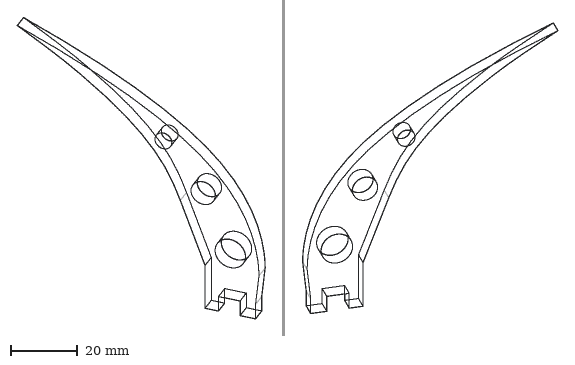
import cadquery as cq

height = 85.0
thickness = 5.0

foot_left = 60.6
foot_right = 76.9
foot_shoulder_height = 15.0
foot_right_height = 5.1

slot_left = 64.9
slot_right = 71.9
slot_depth = 5.1

tip = (0, height)
outer_edge_points = [(19.9, 76.75), (36.3, 68.6), (49.6, 60.4), (64.3, 48.1),
                     (73.9, 33.8), (77.5, 21.6), (78.0, 15.3)]
inner_straight_end = (52.6, 35.9)
inner_edge_points = [(47.85, 46.1), (40.0, 56.35), (28.5, 66.7), (13.85, 76.9)]

holes = [(47.2, 55.4, 5.4), (60.0, 40.1, 7.8), (68.8, 21.0, 9.8)]


def make_blade():
    """Hooked blade with its foot, centred on the XZ plane."""
    foot_shoulder = (foot_left, foot_shoulder_height)
    straight_direction = (
        inner_straight_end[0] - foot_shoulder[0],
        inner_straight_end[1] - foot_shoulder[1],
    )
    tip_direction = (
        tip[0] - inner_edge_points[-1][0],
        tip[1] - inner_edge_points[-1][1],
    )
    outline = (
        cq.Workplane("XZ", origin=(0, thickness / 2, 0))
        .moveTo(*tip)
        .spline(outer_edge_points, includeCurrent=True)
        .lineTo(foot_right, foot_right_height)
        .lineTo(foot_right, 0)
        .lineTo(slot_right, 0)
        .lineTo(slot_right, slot_depth)
        .lineTo(slot_left, slot_depth)
        .lineTo(slot_left, 0)
        .lineTo(foot_left, 0)
        .lineTo(*foot_shoulder)
        .lineTo(*inner_straight_end)
        .spline(
            inner_edge_points + [tip],
            tangents=[straight_direction, tip_direction],
            includeCurrent=True,
        )
        .close()
    )
    return outline.extrude(thickness)


def make_hole(x, z, diameter):
    """Cylinder that passes through the full thickness of the blade."""
    return (
        cq.Workplane("XZ", origin=(0, thickness / 2, 0))
        .center(x, z)
        .circle(diameter / 2)
        .extrude(thickness)
    )


result = make_blade()
for hole_x, hole_z, hole_diameter in holes:
    result = result.cut(make_hole(hole_x, hole_z, hole_diameter))